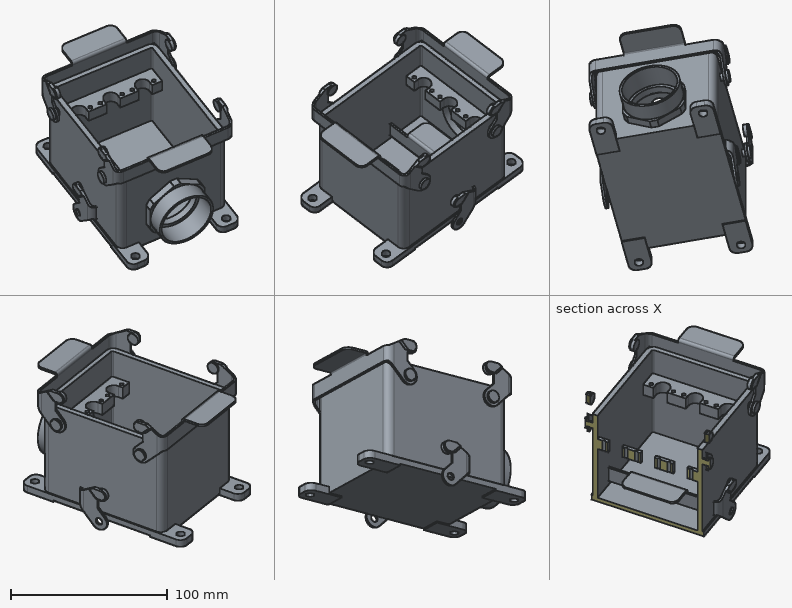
import cadquery as cq
import math

BODY_LENGTH = 93.0
BODY_WIDTH = 79.2
BODY_CORNER_RADIUS = 5.0
BODY_BOTTOM = 1.0
BODY_TOP = 71.8
CAVITY_LENGTH = 86.2
CAVITY_WIDTH = 71.6
CAVITY_CORNER_RADIUS = 1.0
FLOOR_THICKNESS = 3.5
FLOOR_TOP = BODY_BOTTOM + FLOOR_THICKNESS

BASE_LENGTH = 124.3
BASE_WIDTH = 81.0
BASE_TOP = 5.2
FOOT_WIDTH = 15.1
FOOT_CORNER_RADIUS = 5.0
FOOT_INNER_X = 37.0
MOUNTING_HOLE_DIAMETER = 5.5
MOUNTING_HOLE_X = 56.0
MOUNTING_HOLE_Y = 33.4

LEDGE_INNER_X = 30.0
LEDGE_TOP = 52.6
LEDGE_THICKNESS = 8.4
SCREW_HOLE_DIAMETER = 2.46
SCREW_HOLE_X = 32.9
SCREW_HOLE_YS = (8.0, 15.4, 31.4)
SCALLOP_RADIUS = 5.0
SCALLOP_CENTER_X = 33.4
SCALLOP_PITCH = 23.4

GLAND_Z = 27.9
CABLE_HOLE_DIAMETER = 32.0
COLLAR_DIAMETER = 36.24
COLLAR_LENGTH = 1.7
NUT_ACROSS_FLATS = 40.0
NUT_CORNER_DIAMETER = 43.5
NUT_THICKNESS = 5.3
SPIGOT_DIAMETER = 39.4
SPIGOT_LENGTH = 11.3

PIVOT_X = 32.25
PIVOT_Z = 62.18
LEVER_THICKNESS = 1.5
LEVER_END_X = 64.75
ARM_OUTER_Y = 43.5
ARM_INNER_Y = ARM_OUTER_Y - LEVER_THICKNESS
EYE_RADIUS = 6.0
EYE_HOLE_DIAMETER = 4.9
ARM_INNER_EDGE_X = 1.3
BAR_OUTER_X = 17.0
BAR_BOTTOM = 7.15
BAR_TOP = 17.8
BAR_BEND_RADIUS = 4.9

HOOK_TOP = 24.0
HOOK_BOTTOM = 17.0
HOOK_RADIUS = (HOOK_TOP - HOOK_BOTTOM) / 2
HOOK_CENTER_X = -1.6
HOOK_SHOULDER_X = 4.1
HOOK_SLOPE = math.radians(30)
HOOK_RISE = 0.9
HOOK_FOLD_WIDTH = 1.3
BUTTON_RADIUS = 4.0
BUTTON_CENTER_Z = HOOK_TOP - BUTTON_RADIUS
BUTTON_INNER_Y = 40.9

TAB_TOP = 20.6
TAB_WIDTH = 40.0
TAB_CORNER_RADIUS = 5.0
TAB_BEND_INNER_RADIUS = 0.5

RIVET_SHANK_DIAMETER = 5.0
RIVET_HEAD_DIAMETER = 8.0
RIVET_HEAD_Y = 45.2


def centred_box(length, width, bottom, top):
    """Upright block centred on the Z axis."""
    block = cq.Workplane("XY").workplane(offset=bottom).rect(length, width)
    return block.extrude(top - bottom)


def cylinder_along_y(x, z, diameter, y_start, y_end):
    """Round bar parallel to Y between two Y positions."""
    start = cq.Vector(x, y_start, z)
    return cq.Workplane(cq.Solid.makeCylinder(diameter / 2, y_end - y_start, start, cq.Vector(0, 1, 0)))


def cylinder_along_x(diameter, x_start, x_end):
    """Round bar on the gland axis between two X positions."""
    start = cq.Vector(x_start, 0, GLAND_Z)
    return cq.Workplane(cq.Solid.makeCylinder(diameter / 2, x_end - x_start, start, cq.Vector(1, 0, 0)))


def lever_outline():
    """Side outline of arm, hook and bar, cut through the full width of the lever."""
    tangent = EYE_RADIUS / math.sqrt(2)
    edge_offset = EYE_RADIUS * math.sqrt(2)
    slope_end_x = HOOK_SHOULDER_X + (HOOK_TOP - BAR_TOP) / math.tan(HOOK_SLOPE)
    hook_middle = (HOOK_TOP + HOOK_BOTTOM) / 2
    return (
        cq.Workplane("XZ")
        .moveTo(-tangent, tangent)
        .lineTo(ARM_INNER_EDGE_X, ARM_INNER_EDGE_X + edge_offset)
        .lineTo(ARM_INNER_EDGE_X, HOOK_BOTTOM)
        .lineTo(HOOK_CENTER_X, HOOK_BOTTOM)
        .threePointArc((HOOK_CENTER_X - HOOK_RADIUS, hook_middle), (HOOK_CENTER_X, HOOK_TOP))
        .lineTo(HOOK_SHOULDER_X, HOOK_TOP)
        .lineTo(slope_end_x, BAR_TOP)
        .lineTo(BAR_OUTER_X, BAR_TOP)
        .lineTo(BAR_OUTER_X, BAR_BOTTOM)
        .lineTo(BAR_BOTTOM + edge_offset, BAR_BOTTOM)
        .lineTo(tangent, -tangent)
        .threePointArc((-tangent, -tangent), (-tangent, tangent))
        .close()
        .extrude(ARM_OUTER_Y + HOOK_RISE, both=True)
    )


def lever_strap():
    """U-shaped strap seen from above: the bar with its two bent arms."""
    open_end_x = HOOK_CENTER_X - 2 * EYE_RADIUS
    length = BAR_OUTER_X - open_end_x
    inner_radius = BAR_BEND_RADIUS - LEVER_THICKNESS

    def rounded_block(inset, radius):
        block = cq.Workplane("XY").box(length, 2 * (ARM_OUTER_Y - inset), 2 * HOOK_TOP)
        block = block.edges("|Z and >X").fillet(radius)
        return block.translate((open_end_x + length / 2 - inset, 0, 0))

    return rounded_block(0, BAR_BEND_RADIUS).cut(rounded_block(LEVER_THICKNESS, inner_radius))


def hook_plate(outline):
    """Hook of the +Y arm, raised on its outer face beyond a sloped 45 degree fold."""
    flat_end = -HOOK_TOP
    profile = [
        (flat_end, ARM_INNER_Y),
        (HOOK_FOLD_WIDTH, ARM_INNER_Y),
        (HOOK_FOLD_WIDTH, ARM_OUTER_Y),
        (0, ARM_OUTER_Y + HOOK_RISE),
        (flat_end, ARM_OUTER_Y + HOOK_RISE),
    ]
    plate = cq.Workplane("XY").polyline(profile).close().extrude(HOOK_TOP, both=True)
    plate = plate.rotate((0, 0, 0), (0, 1, 0), 45).translate((ARM_INNER_EDGE_X, 0, HOOK_BOTTOM))
    above_hook_bottom = centred_box(4 * HOOK_TOP, 4 * ARM_OUTER_Y, HOOK_BOTTOM, 2 * HOOK_TOP)
    return plate.intersect(outline).intersect(above_hook_bottom)


def lever_tab():
    """Finger tab bent outwards from the top of the bar."""
    inner_x = BAR_OUTER_X - LEVER_THICKNESS
    end_x = LEVER_END_X - PIVOT_X
    outer_radius = TAB_BEND_INNER_RADIUS + LEVER_THICKNESS
    tab = (
        cq.Workplane("XZ")
        .moveTo(inner_x, BAR_BOTTOM)
        .lineTo(inner_x, TAB_TOP - outer_radius)
        .radiusArc((inner_x + outer_radius, TAB_TOP), outer_radius)
        .lineTo(end_x, TAB_TOP)
        .lineTo(end_x, TAB_TOP - LEVER_THICKNESS)
        .lineTo(BAR_OUTER_X + TAB_BEND_INNER_RADIUS, TAB_TOP - LEVER_THICKNESS)
        .radiusArc((BAR_OUTER_X, TAB_TOP - outer_radius), -TAB_BEND_INNER_RADIUS)
        .lineTo(BAR_OUTER_X, BAR_BOTTOM)
        .close()
        .extrude(TAB_WIDTH / 2, both=True)
    )
    return tab.edges("|Z and >X").fillet(TAB_CORNER_RADIUS)


def make_lever():
    """One complete lever with its pivot axis on the Y axis and its bar on the +X side."""
    outline = lever_outline()
    lever = lever_strap().intersect(outline)
    hook = hook_plate(outline)
    button = cylinder_along_y(HOOK_CENTER_X, BUTTON_CENTER_Z, 2 * BUTTON_RADIUS, BUTTON_INNER_Y, ARM_OUTER_Y)
    hook = hook.union(button)
    lever = lever.union(hook).union(hook.mirror("XZ")).union(lever_tab())
    return lever.cut(cylinder_along_y(0, 0, EYE_HOLE_DIAMETER, -RIVET_HEAD_Y, RIVET_HEAD_Y))


def make_ledges():
    """Pair of scalloped screw ledges at the two ends of the cavity."""
    bottom = LEDGE_TOP - LEDGE_THICKNESS
    ledges = centred_box(CAVITY_LENGTH, CAVITY_WIDTH, bottom, LEDGE_TOP)
    ledges = ledges.cut(centred_box(2 * LEDGE_INNER_X, CAVITY_WIDTH, bottom, LEDGE_TOP))
    for row in (-1, 0, 1):
        slot = cq.Workplane("XY").workplane(offset=bottom).center(0, row * SCALLOP_PITCH)
        slot = slot.slot2D(2 * (SCALLOP_CENTER_X + SCALLOP_RADIUS), 2 * SCALLOP_RADIUS)
        ledges = ledges.cut(slot.extrude(LEDGE_THICKNESS))
    screw_points = [(sx * SCREW_HOLE_X, sy * y) for sx in (-1, 1) for sy in (-1, 1) for y in SCREW_HOLE_YS]
    holes = cq.Workplane("XY").workplane(offset=bottom).pushPoints(screw_points)
    return ledges.cut(holes.circle(SCREW_HOLE_DIAMETER / 2).extrude(LEDGE_THICKNESS))


def make_base():
    """Base strip and the four mounting feet."""
    base = centred_box(2 * FOOT_INNER_X, BASE_WIDTH, BODY_BOTTOM, BASE_TOP)
    foot_length = BASE_LENGTH / 2 - FOOT_INNER_X
    for side_x in (-1, 1):
        for side_y in (-1, 1):
            foot = centred_box(foot_length, FOOT_WIDTH, 0, BASE_TOP)
            foot = foot.edges("|Z").edges(">X" if side_x > 0 else "<X").fillet(FOOT_CORNER_RADIUS)
            foot_x = side_x * (FOOT_INNER_X + foot_length / 2)
            foot_y = side_y * (BASE_WIDTH - FOOT_WIDTH) / 2
            base = base.union(foot.translate((foot_x, foot_y, 0)))
    hole_points = [(sx * MOUNTING_HOLE_X, sy * MOUNTING_HOLE_Y) for sx in (-1, 1) for sy in (-1, 1)]
    holes = cq.Workplane("XY").pushPoints(hole_points).circle(MOUNTING_HOLE_DIAMETER / 2)
    return base.cut(holes.extrude(BASE_TOP))


def make_rivet(x):
    """Shank, necked part inside the lever eye and head, on the +Y side wall."""
    wall_y = CAVITY_WIDTH / 2
    shank = cylinder_along_y(x, PIVOT_Z, RIVET_SHANK_DIAMETER, wall_y, ARM_INNER_Y)
    neck = cylinder_along_y(x, PIVOT_Z, EYE_HOLE_DIAMETER, ARM_INNER_Y, ARM_OUTER_Y)
    head = cylinder_along_y(x, PIVOT_Z, RIVET_HEAD_DIAMETER, ARM_OUTER_Y, RIVET_HEAD_Y)
    return shank.union(neck).union(head)


def make_housing(passing_lever):
    """Open box with base, ledges, rivets and cable collar, pierced by the bar of the lowered lever."""
    body = centred_box(BODY_LENGTH, BODY_WIDTH, BODY_BOTTOM, BODY_TOP).edges("|Z").fillet(BODY_CORNER_RADIUS)
    cavity = centred_box(CAVITY_LENGTH, CAVITY_WIDTH, FLOOR_TOP, BODY_TOP)
    body = body.union(make_base()).cut(cavity.edges("|Z").fillet(CAVITY_CORNER_RADIUS))
    body = body.union(make_ledges())
    for side in (-1, 1):
        rivet = make_rivet(side * PIVOT_X)
        body = body.union(rivet).union(rivet.mirror("XZ"))
    wall_inner_x = CAVITY_LENGTH / 2
    collar_end = BODY_LENGTH / 2 + COLLAR_LENGTH
    body = body.union(cylinder_along_x(COLLAR_DIAMETER, wall_inner_x, collar_end))
    body = body.cut(cylinder_along_x(CABLE_HOLE_DIAMETER, wall_inner_x, collar_end))
    return body.cut(passing_lever)


def make_gland():
    """Round-cornered hexagon and round spigot, bored to fit over the housing collar."""
    nut_start = BODY_LENGTH / 2
    nut_end = nut_start + NUT_THICKNESS
    spigot_end = nut_end + SPIGOT_LENGTH
    hexagon = cq.Workplane("YZ").workplane(offset=nut_start).center(0, GLAND_Z)
    hexagon = hexagon.polygon(6, NUT_ACROSS_FLATS, circumscribed=True)
    nut = hexagon.extrude(NUT_THICKNESS).intersect(cylinder_along_x(NUT_CORNER_DIAMETER, nut_start, nut_end))
    gland = nut.union(cylinder_along_x(SPIGOT_DIAMETER, nut_end, spigot_end))
    return gland.cut(cylinder_along_x(COLLAR_DIAMETER, nut_start, spigot_end))


lever = make_lever()
right_lever = lever.translate((PIVOT_X, 0, PIVOT_Z))
left_lever = right_lever.mirror("YZ")
lowered_lever = lever
housing = make_housing(lowered_lever)
gland = make_gland()

bodies = (housing, gland, right_lever, left_lever, lowered_lever)
result = cq.Compound.makeCompound([body.val() for body in bodies])